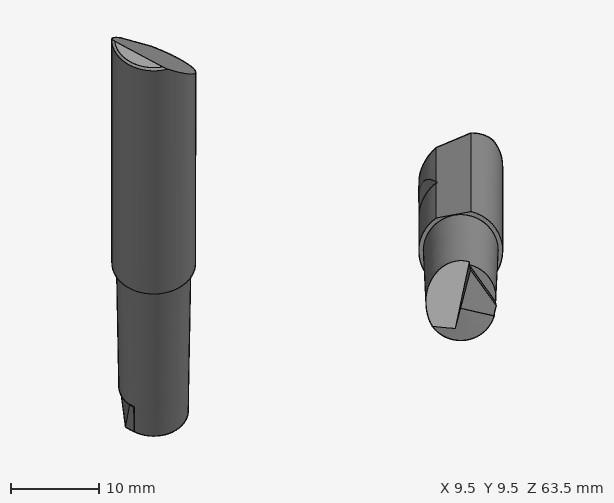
import cadquery as cq
import math

total_length = 63.5
shank_radius = 4.75
shank_bottom = 25.4
shank_length = total_length - shank_bottom
end_chamfer_height = 0.2
end_chamfer_width = 0.3

flat_span_angle = 50
flat_angle = 180 - flat_span_angle / 2
flat_distance = shank_radius * math.cos(math.radians(flat_span_angle / 2))

slant_start_y = -2.9

notch_floor_y = 3.55
notch_top = 48.75
notch_deepest = 41.15
notch_bottom = 40.5

neck_top_radius = 4.25
neck_bottom_radius = 3.95
neck_cone_height = 0.3

insert_height = 4.5
insert_inner_x = 0.05
insert_front_y = -3.9
insert_top_edge_x = -3.95
insert_top_corner_x = -0.6
insert_flare = 0.65
end_relief_x = 0.02
end_relief_y = 0.05

gullet_axis_height = 2.35
gullet_slope_x = -0.84
gullet_slope_y = 0.18

cutter = 8 * shank_radius


def half_space(origin, normal):
    """A large block lying on the side of a plane that its normal points to."""
    return cq.Workplane(cq.Plane(origin=origin, normal=normal)).rect(cutter, cutter).extrude(cutter)


def make_shank():
    shank = (
        cq.Workplane("XY")
        .workplane(offset=shank_bottom)
        .circle(shank_radius)
        .extrude(shank_length)
        .faces(">Z")
        .chamfer(end_chamfer_height, end_chamfer_width)
    )
    flat = (
        cq.Workplane("XY")
        .box(cutter, cutter, total_length, centered=(False, True, False))
        .translate((flat_distance, 0, 0))
        .rotate((0, 0, 0), (0, 0, 1), flat_angle)
    )
    slant = half_space((0, slant_start_y, total_length), (0, 1, 1))
    notch = (
        cq.Workplane("YZ")
        .polyline([
            (shank_radius, notch_top),
            (notch_floor_y, notch_deepest),
            (shank_radius, notch_bottom),
        ])
        .close()
        .extrude(shank_radius, both=True)
    )
    return shank.cut(flat).cut(slant).cut(notch)


def make_neck():
    neck = (
        cq.Workplane("XZ")
        .polyline([
            (0, 0),
            (neck_bottom_radius, neck_cone_height),
            (neck_top_radius, shank_bottom),
            (0, shank_bottom),
        ])
        .close()
        .revolve(360, (0, 0), (0, 1))
    )
    insert_seat = (
        cq.Workplane("XY")
        .box(cutter, cutter, insert_height, centered=False)
        .translate((insert_inner_x - cutter, -cutter, 0))
    )
    below_runout = half_space((0, 0, gullet_axis_height), (gullet_slope_x, gullet_slope_y, -1))
    gullet = below_runout.intersect(half_space((0, 0, 0), (0, 1, 0)))
    return neck.cut(insert_seat).cut(gullet)


def insert_outline(flare):
    return [
        (insert_inner_x, 0),
        (insert_top_edge_x - flare, 0),
        (insert_top_corner_x - flare, insert_front_y),
        (insert_inner_x, insert_front_y),
    ]


def make_insert():
    blade = (
        cq.Workplane("XY")
        .polyline(insert_outline(insert_flare))
        .close()
        .workplane(offset=insert_height)
        .polyline(insert_outline(0))
        .close()
        .loft(ruled=True)
    )
    end_relief = half_space((0, 0, 0), (-end_relief_x, -end_relief_y, -1))
    return blade.cut(end_relief)


result = make_shank().union(make_neck()).union(make_insert())